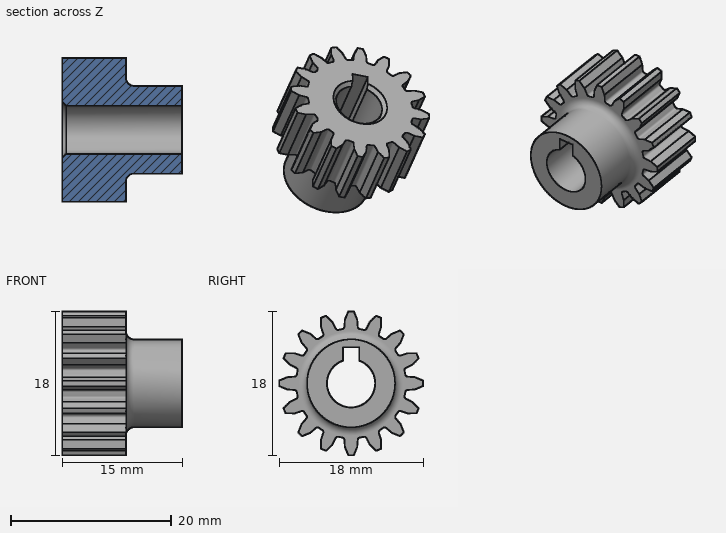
import cadquery as cq
import math


module = 1.0
tooth_count = 16
face_width = 8.0
pitch_radius = module * tooth_count / 2
tip_radius = pitch_radius + module
root_radius = pitch_radius - 1.125 * module
tip_thickness = 0.7
root_thickness = 1.73
root_fillet_radius = 0.3
tooth_pitch_angle = 2 * math.pi / tooth_count

overall_length = 15.0
hub_radius = 5.5
hub_fillet_radius = 1.0

bore_radius = 3.0
bore_chamfer = 0.5
keyway_width = 2.0
keyway_top = 4.5

selection_tolerance = 0.01


def half_angle(thickness, radius):
    """Half of the angle spanned by a chord of the given thickness."""
    return math.asin(thickness / 2 / radius)


def polar(radius, angle):
    """Point in the YZ plane; the angle is measured from +Z."""
    return (radius * math.sin(angle), radius * math.cos(angle))


def make_toothed_blank():
    """Gear disc whose flanks are two flats each, meeting at the pitch circle."""
    tip_half = half_angle(tip_thickness, tip_radius)
    pitch_half = tooth_pitch_angle / 4
    root_half = half_angle(root_thickness, root_radius)

    outline = cq.Workplane("YZ").moveTo(*polar(root_radius, -root_half))
    for index in range(tooth_count):
        center = index * tooth_pitch_angle
        next_center = center + tooth_pitch_angle
        outline = (
            outline.lineTo(*polar(pitch_radius, center - pitch_half))
            .lineTo(*polar(tip_radius, center - tip_half))
            .threePointArc(polar(tip_radius, center), polar(tip_radius, center + tip_half))
            .lineTo(*polar(pitch_radius, center + pitch_half))
            .lineTo(*polar(root_radius, center + root_half))
            .threePointArc(
                polar(root_radius, center + tooth_pitch_angle / 2),
                polar(root_radius, next_center - root_half),
            )
        )
    return outline.close().extrude(face_width)


def is_root_corner(edge):
    """True for an edge lying on the root circle."""
    middle = edge.Center()
    return abs(math.hypot(middle.y, middle.z) - root_radius) < selection_tolerance


def make_gear():
    return make_toothed_blank().edges("|X").filter(is_root_corner).fillet(root_fillet_radius)


def make_hub():
    """Hub revolved about X, flaring into the gear face with a concave fillet."""
    fillet_end = face_width + hub_fillet_radius
    flare_radius = hub_radius + hub_fillet_radius
    arc_offset = hub_fillet_radius * (1 - math.sqrt(0.5))
    return (
        cq.Workplane("XY")
        .moveTo(0, 0)
        .lineTo(0, hub_radius)
        .lineTo(face_width, flare_radius)
        .threePointArc((face_width + arc_offset, hub_radius + arc_offset), (fillet_end, hub_radius))
        .lineTo(overall_length, hub_radius)
        .lineTo(overall_length, 0)
        .close()
        .revolve(360, (0, 0, 0), (1, 0, 0))
    )


def make_bore():
    """Through bore with a chamfered mouth at X = 0."""
    return (
        cq.Workplane("XY")
        .moveTo(0, 0)
        .lineTo(0, bore_radius + bore_chamfer)
        .lineTo(bore_chamfer, bore_radius)
        .lineTo(overall_length, bore_radius)
        .lineTo(overall_length, 0)
        .close()
        .revolve(360, (0, 0, 0), (1, 0, 0))
    )


def make_keyway():
    """Through slot from the axis up to the keyway flat."""
    return cq.Workplane("XY").box(
        overall_length, keyway_width, keyway_top, centered=(False, True, False)
    )


result = make_gear().union(make_hub()).cut(make_bore()).cut(make_keyway())